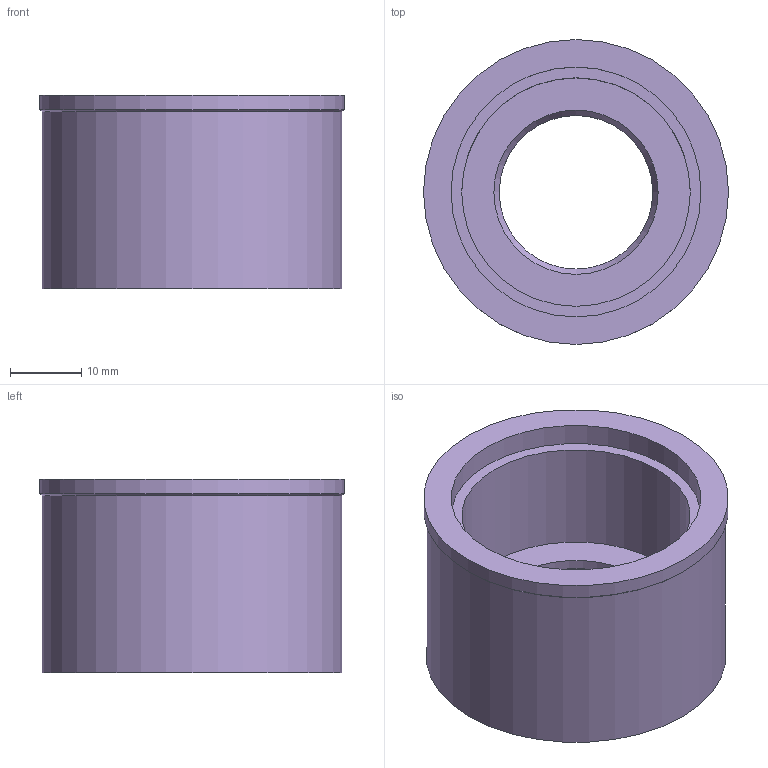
import cadquery as cq
import math

total_height = 27.1
flange_diameter = 42.7
body_diameter = 42.0

flange_height = 2.0
flange_bevel_height = 0.3

recess_diameter = 35.0
recess_depth = 3.1
bore_diameter = 32.0
bore_depth = 18.9

hole_diameter = 21.5
mouth_diameter = 23.0
mouth_depth = 1.4
cone_slope = 60
cone_height = (mouth_diameter - hole_diameter) / 2 * math.tan(math.radians(cone_slope))


def make_body():
    """Revolve the outer outline: plain cylinder, bevel and flange."""
    body_radius = body_diameter / 2
    flange_radius = flange_diameter / 2
    flange_bottom = total_height - flange_height
    return (
        cq.Workplane("XZ")
        .lineTo(body_radius, 0)
        .lineTo(body_radius, flange_bottom - flange_bevel_height)
        .lineTo(flange_radius, flange_bottom)
        .lineTo(flange_radius, total_height)
        .lineTo(0, total_height)
        .close()
        .revolve(360, (0, 0, 0), (0, 1, 0))
    )


def make_cavity():
    """Revolve the stepped bore, the mouth, the cone and the through hole."""
    recess_radius = recess_diameter / 2
    bore_radius = bore_diameter / 2
    recess_floor = total_height - recess_depth
    bore_floor = total_height - bore_depth
    hole_radius = hole_diameter / 2
    mouth_radius = mouth_diameter / 2
    cone_top = bore_floor - mouth_depth
    return (
        cq.Workplane("XZ")
        .lineTo(hole_radius, 0)
        .lineTo(hole_radius, cone_top - cone_height)
        .lineTo(mouth_radius, cone_top)
        .lineTo(mouth_radius, bore_floor)
        .lineTo(bore_radius, bore_floor)
        .lineTo(bore_radius, recess_floor)
        .lineTo(recess_radius, recess_floor)
        .lineTo(recess_radius, total_height)
        .lineTo(0, total_height)
        .close()
        .revolve(360, (0, 0, 0), (0, 1, 0))
    )


result = make_body().cut(make_cavity())